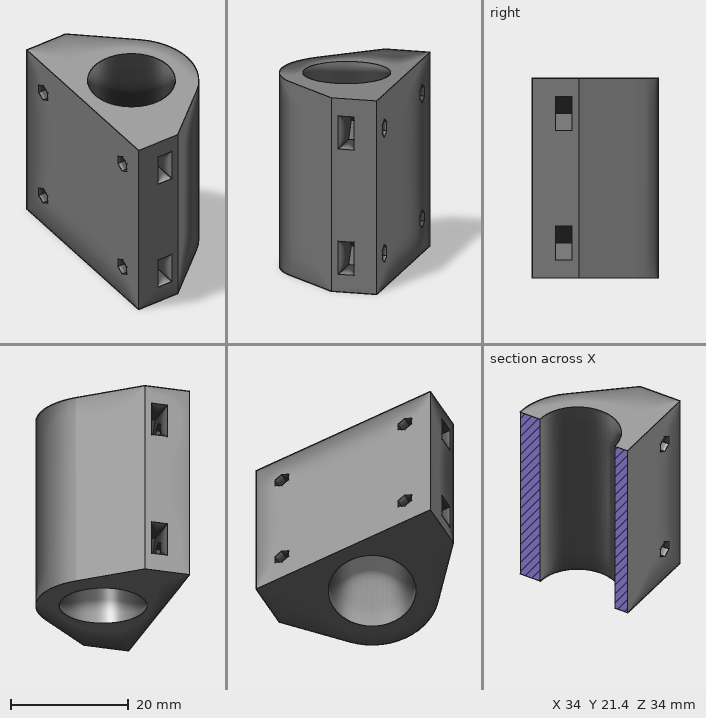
import cadquery as cq
import math

width = 34.0
height = 34.0
side_wall_depth = 8.0

bore_diameter = 14.9
bore_axis_y = 10.0
crown_wall = 4.0

screw_spacing_x = 24.0
screw_spacing_z = 22.0
screw_hole_corner_diameter = 3.1
nut_across_flats = 5.8
nut_slot_thickness = 2.8
nut_slot_start_y = 4.0

hex_sides = 6
half_width = width / 2
bore_radius = bore_diameter / 2
crown_radius = bore_radius + crown_wall
nut_corner_diameter = nut_across_flats / math.cos(math.pi / hex_sides)
nut_slot_end_y = nut_slot_start_y + nut_slot_thickness


def make_body():
    """Flat-backed block whose sloped sides run tangent into the crown."""
    drop = bore_axis_y - side_wall_depth
    corner_distance = math.hypot(half_width, drop)
    tangent_angle = math.acos(crown_radius / corner_distance) - math.atan2(drop, half_width)
    tangent_x = crown_radius * math.cos(tangent_angle)
    tangent_y = bore_axis_y + crown_radius * math.sin(tangent_angle)
    return (
        cq.Workplane("XY", origin=(0, 0, -height / 2))
        .moveTo(-half_width, 0)
        .lineTo(half_width, 0)
        .lineTo(half_width, side_wall_depth)
        .lineTo(tangent_x, tangent_y)
        .threePointArc((0, bore_axis_y + crown_radius), (-tangent_x, tangent_y))
        .lineTo(-half_width, side_wall_depth)
        .close()
        .extrude(height)
    )


def make_bore():
    """Cylinder that runs through the full height of the block."""
    return (
        cq.Workplane("XY", origin=(0, bore_axis_y, -height / 2))
        .circle(bore_radius)
        .extrude(height)
    )


def make_screw_hole(x, z):
    """Hexagon with corners up and down, from the mounting face to the far side of the nut slot."""
    return (
        cq.Workplane("XZ")
        .transformed(rotate=(0, 0, 90), offset=(x, z, 0))
        .polygon(hex_sides, screw_hole_corner_diameter)
        .extrude(-nut_slot_end_y)
    )


def make_nut_slot(side, z):
    """Nut pocket with one corner pointing inwards, extended straight out through the side wall."""
    screw_x = side * screw_spacing_x / 2
    outer_x = side * half_width
    pocket = (
        cq.Workplane("XZ", origin=(screw_x, nut_slot_start_y, z))
        .polygon(hex_sides, nut_corner_diameter)
        .extrude(-nut_slot_thickness)
    )
    channel = (
        cq.Workplane("XZ", origin=((screw_x + outer_x) / 2, nut_slot_start_y, z))
        .rect(half_width - screw_spacing_x / 2, nut_across_flats)
        .extrude(-nut_slot_thickness)
    )
    return pocket.union(channel)


result = make_body().cut(make_bore())
for side in (-1, 1):
    for level in (-1, 1):
        screw_z = level * screw_spacing_z / 2
        result = result.cut(make_screw_hole(side * screw_spacing_x / 2, screw_z))
        result = result.cut(make_nut_slot(side, screw_z))